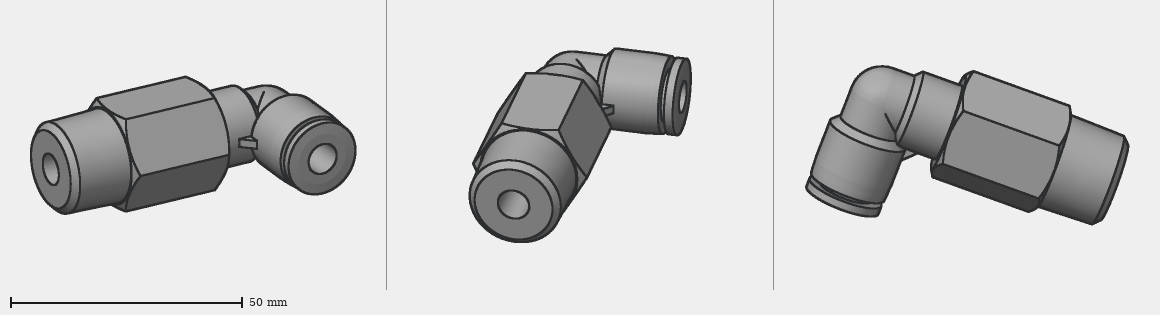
import cadquery as cq
import math

total_length = 62.45
bore_radius = 3.5
thread_length = 14.0
thread_tip_radius = 10.2
thread_base_radius = 10.55
thread_chamfer = 1.5

hex_across_flats = 22.0
hex_length = 24.35
hex_end_radius = 10.8
hex_chamfer_angle = 30.0

shoulder_radius = 8.5
shoulder_straight = 8.9
elbow_radius = 7.0

port_radius = 8.75
port_cone_start = 6.95
port_straight_end = 17.5
port_taper_end = 19.75
port_body_end = 21.1
port_taper_radius = 8.6
port_lip_radius = 8.5
neck_radius = 5.9
neck_end = 22.4
flange_radius = 8.35
flange_rim_end = 24.35
port_end = 24.6
flange_face_radius = 5.9

gusset_leg = 2.8
gusset_thickness = 1.9

hex_corner_radius = hex_across_flats / math.sqrt(3)
hex_end = thread_length + hex_length
shoulder_end = hex_end + shoulder_straight
port_y = total_length - port_radius


def revolve_about_y(profile):
    """Revolve (radius, y) points around the stem axis."""
    points = [(0, profile[0][1])] + profile + [(0, profile[-1][1])]
    return cq.Workplane("XY").polyline(points).close().revolve(360, (0, 0, 0), (0, 1, 0))


def revolve_port(profile):
    """Revolve (x, radius) points around the port axis."""
    points = [(profile[0][0], 0)] + profile + [(profile[-1][0], 0)]
    port = cq.Workplane("XY").polyline(points).close().revolve(360, (0, 0, 0), (1, 0, 0))
    return port.translate((0, port_y, 0))


def make_elbow(radius, stem_start, port_finish):
    """Join two tubes of equal radius with a mitre inside and a spherical corner outside."""
    corner = radius * math.sqrt(0.5)
    stem_tube = (
        cq.Workplane("XY")
        .moveTo(0, stem_start)
        .lineTo(radius, stem_start)
        .lineTo(radius, port_y)
        .threePointArc((corner, port_y + corner), (0, port_y + radius))
        .close()
        .revolve(360, (0, 0, 0), (0, 1, 0))
    )
    port_tube = (
        cq.Workplane("XY")
        .moveTo(port_finish, 0)
        .lineTo(port_finish, radius)
        .lineTo(0, radius)
        .threePointArc((-corner, corner), (-radius, 0))
        .close()
        .revolve(360, (0, 0, 0), (1, 0, 0))
        .translate((0, port_y, 0))
    )
    reach = 2 * total_length
    stem_side = (
        cq.Workplane("XY")
        .polyline([(-reach, port_y + reach), (reach, port_y - reach), (-reach, port_y - reach)])
        .close()
        .extrude(total_length, both=True)
    )
    return stem_tube.intersect(stem_side).union(port_tube.cut(stem_side))


def make_stem():
    shoulder_chamfer = shoulder_radius - elbow_radius
    return revolve_about_y([
        (thread_tip_radius - thread_chamfer, 0),
        (thread_tip_radius, thread_chamfer),
        (thread_base_radius, thread_length),
        (shoulder_radius, thread_length),
        (shoulder_radius, shoulder_end),
        (elbow_radius, shoulder_end + shoulder_chamfer),
    ])


def make_hexagon():
    prism = (
        cq.Workplane("XZ")
        .polygon(6, 2 * hex_corner_radius)
        .extrude(-hex_length)
        .translate((0, thread_length, 0))
    )
    chamfer_height = (hex_corner_radius - hex_end_radius) * math.tan(math.radians(hex_chamfer_angle))
    envelope = revolve_about_y([
        (hex_end_radius, thread_length),
        (hex_corner_radius, thread_length + chamfer_height),
        (hex_corner_radius, hex_end - chamfer_height),
        (hex_end_radius, hex_end),
    ])
    return prism.intersect(envelope)


def make_port():
    cone_end = port_cone_start + port_radius - elbow_radius
    return revolve_port([
        (port_cone_start, elbow_radius),
        (cone_end, port_radius),
        (port_straight_end, port_radius),
        (port_taper_end, port_taper_radius),
        (port_body_end, port_lip_radius),
        (port_body_end, neck_radius),
        (neck_end, neck_radius),
        (neck_end, flange_radius),
        (flange_rim_end, flange_radius),
        (port_end, flange_face_radius),
    ])


def make_gusset():
    port_underside = port_y - port_radius
    return (
        cq.Workplane("XY")
        .moveTo(elbow_radius, port_y)
        .lineTo(elbow_radius, port_underside - gusset_leg)
        .lineTo(shoulder_radius, port_underside - gusset_leg)
        .lineTo(shoulder_radius + gusset_leg, port_underside)
        .lineTo(shoulder_radius + gusset_leg, port_y)
        .close()
        .extrude(gusset_thickness / 2, both=True)
    )


outer_elbow = make_elbow(elbow_radius, hex_end, port_cone_start)
body = make_stem().union(make_hexagon()).union(outer_elbow)
body = body.union(make_port()).union(make_gusset())

bore = make_elbow(bore_radius, 0, port_end)
result = body.cut(bore)